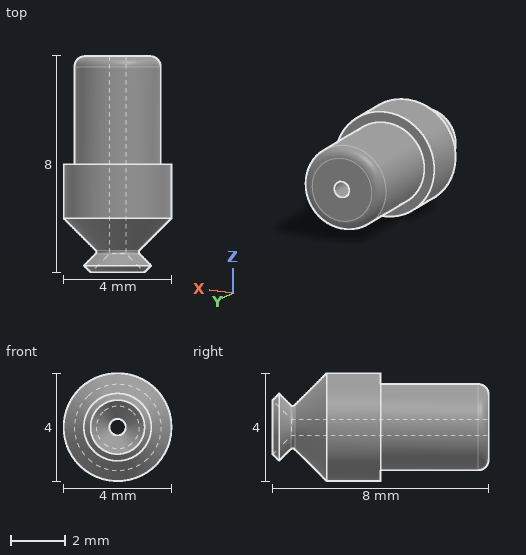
import cadquery as cq
import math

length = 8.0
body_radius = 4.0 / 2
shank_radius = 3.2 / 2
shank_start = length / 2
shank_end_fillet = 0.4

shoulder_start = 2.0

mouth_radius = 1.0
lip_height = 0.25
lip_radius = mouth_radius + lip_height

bore_radius = 0.6 / 2
mouth_depth = mouth_radius - bore_radius

neck_arc_radius = 0.2 / 2
cone_offset = body_radius - shoulder_start
flank_sum = lip_radius + lip_height
corner_radius = (flank_sum + cone_offset) / 2
corner_y = (flank_sum - cone_offset) / 2
arc_half_width = neck_arc_radius * math.sin(math.radians(45))
arc_end_radius = corner_radius + arc_half_width
arc_bottom_radius = corner_radius + 2 * arc_half_width - neck_arc_radius


def revolve_about_y(outline):
    """Full turn of an outline given as (radius, Y)."""
    return outline.revolve(360, (0, 0, 0), (0, 1, 0))


def turned_body():
    """Lip, neck, cone, body and round-ended shank, without the bore."""
    outline = (
        cq.Workplane("XY")
        .moveTo(0, 0)
        .lineTo(mouth_radius, 0)
        .lineTo(lip_radius, lip_height)
        .lineTo(arc_end_radius, corner_y - arc_half_width)
        .threePointArc((arc_bottom_radius, corner_y), (arc_end_radius, corner_y + arc_half_width))
        .lineTo(body_radius, shoulder_start)
        .lineTo(body_radius, shank_start)
        .lineTo(shank_radius, shank_start)
        .lineTo(shank_radius, length)
        .lineTo(0, length)
        .close()
    )
    return revolve_about_y(outline).faces(">Y").edges().fillet(shank_end_fillet)


def passage():
    """Conical mouth leading into a bore that runs the full length."""
    outline = (
        cq.Workplane("XY")
        .moveTo(0, 0)
        .lineTo(mouth_radius, 0)
        .lineTo(bore_radius, mouth_depth)
        .lineTo(bore_radius, length)
        .lineTo(0, length)
        .close()
    )
    return revolve_about_y(outline)


result = turned_body().cut(passage())